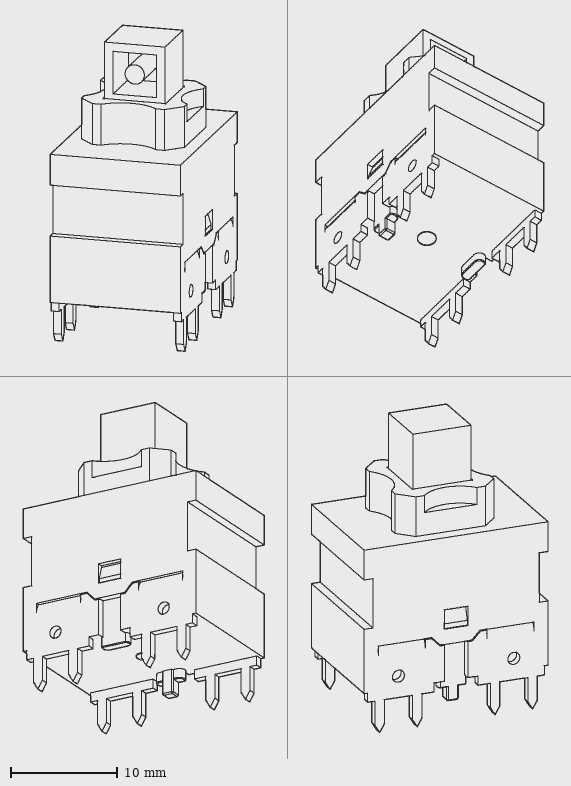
import cadquery as cq
import math

total_height = 28.2
button_height = 5.5
boss_height = 4.0
flange_height = 3.02
neck_height = 5.0
skirt_bottom_z = 4.17
boss_top_z = total_height - button_height
flange_top_z = boss_top_z - boss_height
neck_top_z = flange_top_z - flange_height
skirt_top_z = neck_top_z - neck_height

body_width = 12.8
body_length = 18.8
neck_length = 17.0
side_x = body_width / 2

boss_size = 10.1
boss_chamfer = 1.5
scallop_chord = 5.35
end_scallop_depth = 1.13
side_scallop_depth = 1.2
side_scallop_height = 1.72

button_size = 5.95
button_wall = 0.85
button_gap = 0.1
button_pocket_height = 4.17
rod_diameter = 1.9

window_width = 2.4
window_bottom_z = 9.45
window_top_z = 11.4
window_lip_height = 0.48
window_land_height = 0.17
window_lip_depth = 0.15
window_full_depth = 0.55

recess_width = 2.37
recess_depth = 0.8
recess_top_z = 7.9
recess_floor_x = side_x - recess_depth

terminal_y = 5.65
terminal_thickness = 0.8
plate_width = 6.8
plate_bottom_z = 3.25
leg_mid_y = 5.9
leg_spacing = 3.84
leg_width = 1.0
leg_point_height = 0.82
plate_hole_diameter = 1.2
plate_hole_z = 5.41
bend_diameter = 2.5
bend_radius = bend_diameter / 2
bend_height = 0.93
bend_top_z = 8.77
bend_inner_y = 3.15
bend_outer_y = 7.95

seam_width = 0.08
seam_depth = 0.15
seam_low_end_y = 1.64
seam_high_start_y = 2.48

foot_length = 3.0
foot_width = 1.2
foot_thickness = 1.07
foot_height = 1.0
foot_chamfer = 0.08
post_size = 1.2
post_height = 2.43
post_chamfer = 0.15
pip_diameter = 1.78
pip_height = 0.08
pip_x = -0.35


def block(size_x, size_y, z_bottom, z_top):
    """Box centred on the Z axis between two heights."""
    plan = cq.Workplane("XY", origin=(0, 0, z_bottom)).rect(size_x, size_y)
    return plan.extrude(z_top - z_bottom)


def mirrored_pair(shape):
    """A shape on the -X side together with its copy on the +X side."""
    return shape.union(shape.mirror("YZ"))


def scallop(depth, angle, z_bottom):
    """Cylinder that bites the given depth into the boss side at the given angle."""
    radius = ((scallop_chord / 2) ** 2 + depth ** 2) / (2 * depth)
    distance = boss_size / 2 - depth + radius
    x = distance * math.cos(math.radians(angle))
    y = distance * math.sin(math.radians(angle))
    return cq.Workplane("XY", origin=(x, y, z_bottom)).circle(radius).extrude(boss_top_z - z_bottom)


def make_boss():
    boss = block(boss_size, boss_size, flange_top_z, boss_top_z)
    boss = boss.edges("|Z").chamfer(boss_chamfer)
    for angle in (90, 270):
        boss = boss.cut(scallop(end_scallop_depth, angle, flange_top_z))
    for angle in (0, 180):
        boss = boss.cut(scallop(side_scallop_depth, angle, boss_top_z - side_scallop_height))
    opening = button_size + 2 * button_gap
    return boss.cut(block(opening, opening, flange_top_z, boss_top_z))


def make_button():
    button = block(button_size, button_size, flange_top_z, total_height)
    pocket_z = total_height - button_wall - button_pocket_height / 2
    pocket_width = button_size - 2 * button_wall
    front = cq.Workplane("XZ", origin=(0, -button_size / 2, pocket_z))
    pocket_depth = button_size - button_wall
    pocket = front.rect(pocket_width, button_pocket_height).extrude(-pocket_depth)
    rod = front.circle(rod_diameter / 2).extrude(-pocket_depth)
    return button.cut(pocket).union(rod)


def make_housing():
    flange = block(body_width, body_length, neck_top_z, flange_top_z)
    neck = block(body_width, neck_length, skirt_top_z, neck_top_z)
    skirt = block(body_width, body_length, skirt_bottom_z, skirt_top_z)
    return flange.union(neck).union(skirt)


def make_window():
    """Cutter on the -X side: shallow at the bottom, sloping to full depth at the top."""
    profile = [
        (-side_x, window_bottom_z),
        (-side_x + window_lip_depth, window_bottom_z),
        (-side_x + window_lip_depth, window_bottom_z + window_lip_height),
        (-side_x + window_full_depth, window_top_z - window_land_height),
        (-side_x + window_full_depth, window_top_z),
        (-side_x, window_top_z),
    ]
    return cq.Workplane("XZ").polyline(profile).close().extrude(window_width / 2, both=True)


def make_recess():
    """Cutter for the centre recess on the -X side, open at the bottom."""
    recess = block(recess_depth, recess_width, skirt_bottom_z, recess_top_z)
    return recess.translate((-side_x + recess_depth / 2, 0, 0))


def make_seam(y_sign):
    """Cutter for one stepped seam groove on the -X side."""
    upper_edge = [
        (y_sign * recess_width / 2, recess_top_z),
        (y_sign * seam_low_end_y, recess_top_z),
        (y_sign * seam_high_start_y, bend_top_z),
        (y_sign * bend_inner_y, bend_top_z),
    ]
    lower_edge = [(y, z - seam_width) for y, z in reversed(upper_edge)]
    face = cq.Workplane("YZ", origin=(-side_x, 0, 0))
    return face.polyline(upper_edge + lower_edge).close().extrude(seam_depth)


def make_bend_relief(y_sign):
    """Cutter that leaves the rounded top of one terminal exposed on the -X side."""
    bend_angle = math.asin(bend_height / bend_radius)
    bend_bottom_z = bend_top_z - bend_height

    def arc_point(angle):
        x = -side_x + bend_radius * (1 - math.cos(angle))
        return (x, bend_bottom_z + bend_radius * math.sin(angle))

    profile = (
        cq.Workplane("XZ", origin=(0, y_sign * (bend_inner_y + bend_outer_y) / 2, 0))
        .moveTo(*arc_point(0))
        .threePointArc(arc_point(bend_angle / 2), arc_point(bend_angle))
        .lineTo(-side_x, bend_top_z)
        .close()
    )
    return profile.extrude((bend_outer_y - bend_inner_y) / 2, both=True)


def make_terminal(y_sign):
    """Plate end and pointed legs of one terminal on the -X side."""
    center_y = y_sign * terminal_y
    face = cq.Workplane("YZ", origin=(-side_x, center_y, 0))
    plate_height = skirt_bottom_z - plate_bottom_z
    plate_mid_z = plate_bottom_z + plate_height / 2
    terminal = face.center(0, plate_mid_z).rect(plate_width, plate_height).extrude(terminal_thickness)
    for leg_side in (-1, 1):
        leg_y = y_sign * (leg_mid_y - terminal_y) + leg_side * leg_spacing / 2
        outline = [
            (leg_y - leg_width / 2, plate_bottom_z),
            (leg_y - leg_width / 2, leg_point_height),
            (leg_y, 0),
            (leg_y + leg_width / 2, leg_point_height),
            (leg_y + leg_width / 2, plate_bottom_z),
        ]
        terminal = terminal.union(face.polyline(outline).close().extrude(terminal_thickness))
    return terminal


def make_plate_hole(y_sign):
    face = cq.Workplane("YZ", origin=(-side_x, y_sign * leg_mid_y, plate_hole_z))
    return face.circle(plate_hole_diameter / 2).extrude(terminal_thickness)


def make_foot():
    """Round-ended foot on the -X side, trimmed flush with the recess floor."""
    foot_x = -recess_floor_x + foot_thickness - foot_width / 2
    foot = (
        cq.Workplane("XY", origin=(foot_x, 0, skirt_bottom_z))
        .slot2D(foot_length, foot_width, 90)
        .extrude(-foot_height)
    )
    trim = block(recess_depth, foot_length, skirt_bottom_z - foot_height, skirt_bottom_z)
    foot = foot.cut(trim.translate((-side_x + recess_depth / 2, 0, 0)))
    return foot.edges("<Z").chamfer(foot_chamfer)


def make_post():
    post = block(post_size, post_size, skirt_bottom_z - post_height, skirt_bottom_z)
    post = post.edges("|Z or <Z").chamfer(post_chamfer)
    return post.translate((-recess_floor_x + post_size / 2, 0, 0))


def make_pip():
    underside = cq.Workplane("XY", origin=(pip_x, 0, skirt_bottom_z))
    return underside.circle(pip_diameter / 2).extrude(-pip_height)


result = make_housing().union(make_boss()).union(make_button())
result = result.cut(mirrored_pair(make_window()))
result = result.cut(mirrored_pair(make_recess()))
for y_sign in (-1, 1):
    result = result.cut(mirrored_pair(make_seam(y_sign)))
    result = result.cut(mirrored_pair(make_bend_relief(y_sign)))
    result = result.cut(mirrored_pair(make_plate_hole(y_sign)))
    result = result.union(mirrored_pair(make_terminal(y_sign)))
result = result.union(mirrored_pair(make_foot()))
result = result.union(make_post()).union(make_pip())